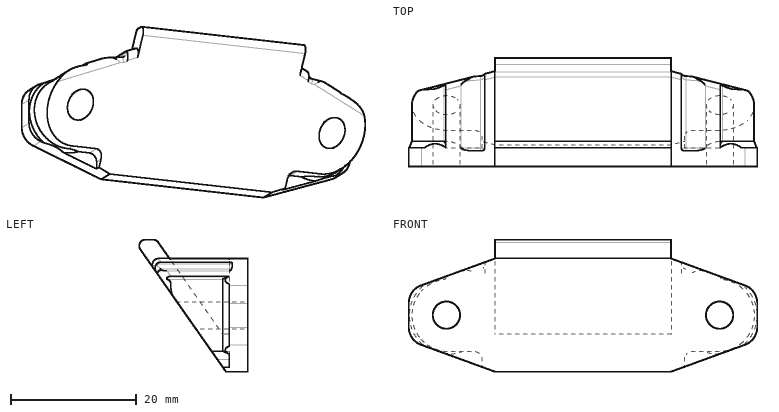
import cadquery as cq
import math

plate_length = 55.4
plate_height = 18.0
plate_thickness = 3.0
plate_corner_radius = 3.0
middle_length = 28.0
end_taper_angle = 20.0
hole_spacing = 43.4
hole_diameter = 4.3

slope_angle = 35.0
slope_start = 3.5
rim_radius = 1.0

lip_thickness = 3.0
lip_top = 21.0
lip_radius = 1.0
pocket_floor = 6.0

end_radius = 5.75
end_center_x = 21.45
end_step_x = 21.8
end_step_radius = 0.35
flare_height = 1.0
flare_taper = 23.0

groove_inner_x = 15.6
groove_outer_x = 19.4
groove_start = 2.5
groove_floor_angle = 6.0
groove_wall_radius = 0.8
groove_end_radius = 0.5
groove_rim_radius = 0.6

relief_inner_x = 16.05
relief_radius = 1.3

half_length = plate_length / 2
half_middle = middle_length / 2
mid_z = plate_height / 2
hole_x = hole_spacing / 2
taper = math.tan(math.radians(end_taper_angle))
lean = math.tan(math.radians(slope_angle))
lip_depth = lip_thickness / math.cos(math.radians(slope_angle))


def shoulder_height(x):
    """Z of the upper plate edge at distance x from the middle, beyond the level part."""
    return plate_height - (x - half_middle) * taper


floor_fall = math.tan(math.radians(groove_floor_angle))
groove_outer_z = shoulder_height(groove_outer_x)
groove_inner_z = groove_outer_z + (groove_outer_x - groove_inner_x) * floor_fall


def slope_y(z):
    """Y of the sloped front face at height z."""
    return slope_start + lean * z


front_limit = slope_y(lip_top)
clearance = 1.0


def prism_along_y(points, start, end):
    """Prism from an XZ polygon, running from Y = start to Y = end."""
    return cq.Workplane("XZ", origin=(0, start, 0)).polyline(points).close().extrude(start - end)


def prism_along_x(points, half_width):
    """Prism from a YZ polygon, centred on X = 0."""
    return cq.Workplane("YZ").polyline(points).close().extrude(half_width, both=True)


def cylinder_along_y(x, radius, start, end):
    return cq.Workplane("XZ", origin=(x, start, mid_z)).circle(radius).extrude(start - end)


def edge_at(x, y, z):
    return cq.selectors.NearestToPointSelector((x, y, z))


def cut_both_sides(body, cutter):
    return body.cut(cutter).cut(cutter.mirror("YZ"))


def outline_points():
    """Six-sided plate outline with sharp ends."""
    tip = mid_z - (half_length - half_middle) * taper
    return [
        (-half_length, mid_z - tip),
        (-half_middle, 0),
        (half_middle, 0),
        (half_length, mid_z - tip),
        (half_length, mid_z + tip),
        (half_middle, plate_height),
        (-half_middle, plate_height),
        (-half_length, mid_z + tip),
    ]


def rounded_outline(start, end):
    prism = prism_along_y(outline_points(), start, end)
    return prism.edges("|Y").edges("<X or >X").fillet(plate_corner_radius)


def make_wedge(top):
    """Everything behind the sloped face, over the full length."""
    return prism_along_x([(0, 0), (slope_y(0), 0), (slope_y(top), top), (0, top)], half_length)


def make_block():
    """Solid block under the sloped face, with its upper rim rounded."""
    block = prism_along_y(outline_points(), 0, front_limit).intersect(make_wedge(plate_height))
    shoulder_x = (half_middle + half_length) / 2
    shoulder_z = shoulder_height(shoulder_x)
    rim = block.edges(edge_at(0, slope_y(plate_height), plate_height))
    rim = rim.add(block.edges(edge_at(shoulder_x, slope_y(shoulder_z), shoulder_z)))
    rim = rim.add(block.edges(edge_at(-shoulder_x, slope_y(shoulder_z), shoulder_z)))
    block = rim.fillet(rim_radius)
    return block.intersect(rounded_outline(0, front_limit))


def make_end_recess():
    """Material removed around the right-hand round end, in front of the plate."""
    outside = half_length + clearance
    relief_z = mid_z - end_radius
    points = [
        (relief_inner_x, -clearance),
        (relief_inner_x, relief_z),
        (end_center_x, relief_z),
        (end_center_x, mid_z),
        (end_step_x, mid_z),
        (end_step_x, plate_height),
        (outside, plate_height),
        (outside, -clearance),
    ]
    recess = prism_along_y(points, plate_thickness, front_limit)
    middle_y = (plate_thickness + front_limit) / 2
    recess = recess.edges(edge_at(relief_inner_x, middle_y, relief_z)).fillet(relief_radius)
    recess = recess.cut(cylinder_along_y(end_center_x, end_radius, 0, front_limit))
    step_z = mid_z + math.sqrt(end_radius**2 - (end_step_x - end_center_x) ** 2)
    recess = recess.edges(edge_at(end_step_x, middle_y, step_z)).fillet(end_step_radius)
    flare_top = plate_thickness + flare_height
    flare = (
        cq.Workplane("XZ", origin=(end_center_x, flare_top, mid_z))
        .circle(end_radius)
        .extrude(flare_height, taper=-flare_taper)
    )
    return recess.cut(flare.intersect(rounded_outline(0, front_limit)))


def make_groove():
    """Cutter for the right-hand grip groove, shaped by the core of material it leaves behind."""
    middle_x = (groove_outer_x + groove_inner_x) / 2
    middle_z = (groove_outer_z + groove_inner_z) / 2
    core = prism_along_y(
        [
            (half_middle, 0),
            (half_middle, lip_top),
            (groove_inner_x, lip_top),
            (groove_inner_x, groove_inner_z),
            (half_length, groove_inner_z - (half_length - groove_inner_x) * floor_fall),
            (half_length, 0),
        ],
        0,
        front_limit,
    )
    core = core.edges(edge_at(groove_inner_x, front_limit / 2, groove_inner_z)).fillet(groove_wall_radius)
    core = core.intersect(make_wedge(lip_top))
    core = core.edges(edge_at(middle_x, slope_y(middle_z), middle_z)).fillet(groove_rim_radius)
    groove = (
        cq.Workplane("XY")
        .box(groove_outer_x - groove_inner_x, front_limit - groove_start, lip_top, centered=False)
        .translate((groove_inner_x, groove_start, 0))
        .cut(core)
    )
    return groove.edges(edge_at(middle_x, groove_start, middle_z)).fillet(groove_end_radius)


def make_pocket():
    return cq.Workplane("XY").box(
        middle_length, front_limit - plate_thickness, lip_top - pocket_floor, centered=(True, False, False)
    ).translate((0, plate_thickness, pocket_floor))


def make_lip():
    """Sloped wall in front of the pocket, rising past the plate as a lip."""
    points = [
        (slope_y(pocket_floor) - lip_depth, pocket_floor),
        (slope_y(pocket_floor), pocket_floor),
        (slope_y(lip_top), lip_top),
        (slope_y(lip_top) - lip_depth, lip_top),
    ]
    return prism_along_x(points, half_middle).edges("|X").edges(">Z").fillet(lip_radius)


body = make_block()
body = cut_both_sides(body, make_groove())
body = cut_both_sides(body, make_end_recess())
body = body.cut(make_pocket()).union(make_lip())
screw_hole = cylinder_along_y(hole_x, hole_diameter / 2, -clearance, front_limit)
result = cut_both_sides(body, screw_hole)